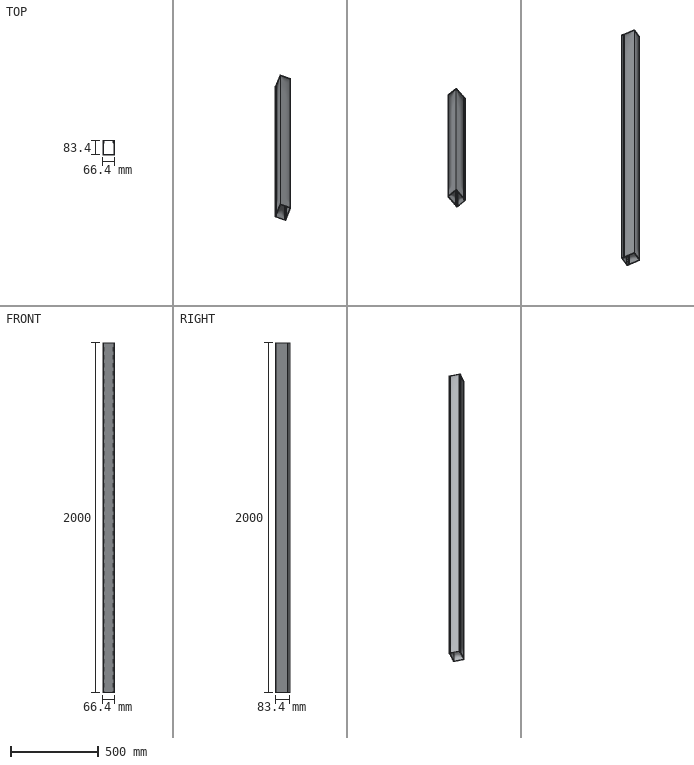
import cadquery as cq

length = 2000.0
lid_width = 66.4
total_depth = 83.4

lid_thickness = 1.0
lid_corner_radius = 2.0
skirt_height = 11.0
lid_inside_width = lid_width - 2 * lid_thickness

channel_width = lid_inside_width
channel_wall = 3.0
channel_corner_radius = 3.0
shoulder_step = 3.5
shoulder_run = 4.2
neck_width = channel_width - 2 * shoulder_step

channel_front = -total_depth / 2
lid_back = total_depth / 2
channel_back = lid_back - lid_thickness
skirt_end = lid_back - skirt_height
shoulder_front = skirt_end - shoulder_run


def channel_prism(inset):
    """Full-length prism of the channel outline, moved in by the inset on the front and both sides."""
    half_body = channel_width / 2 - inset
    half_neck = neck_width / 2 - inset
    front = channel_front + inset
    right_side = [
        (half_body, front),
        (half_body, shoulder_front),
        (half_neck, skirt_end),
        (half_neck, channel_back),
    ]
    left_side = [(-x, y) for x, y in reversed(right_side)]
    return cq.Workplane("XY").polyline(right_side + left_side).close().extrude(length)


def make_channel():
    """Tray with rounded front corners; its neck ends rest against the lid."""
    outside = channel_prism(0).edges("|Z and <Y").fillet(channel_corner_radius)
    return outside.cut(channel_prism(channel_wall))


def block(width, y_start, y_end):
    """Full-length block centred on X and standing on Z = 0."""
    y_middle = (y_start + y_end) / 2
    return cq.Workplane("XY").center(0, y_middle).rect(width, y_end - y_start).extrude(length)


def make_lid():
    """Cap of even thickness with rounded back corners."""
    outside = block(lid_width, skirt_end, lid_back).edges("|Z and >Y").fillet(lid_corner_radius)
    return outside.cut(block(lid_inside_width, skirt_end, channel_back))


channel = make_channel()
lid = make_lid()

result = cq.Compound.makeCompound([channel.val(), lid.val()])